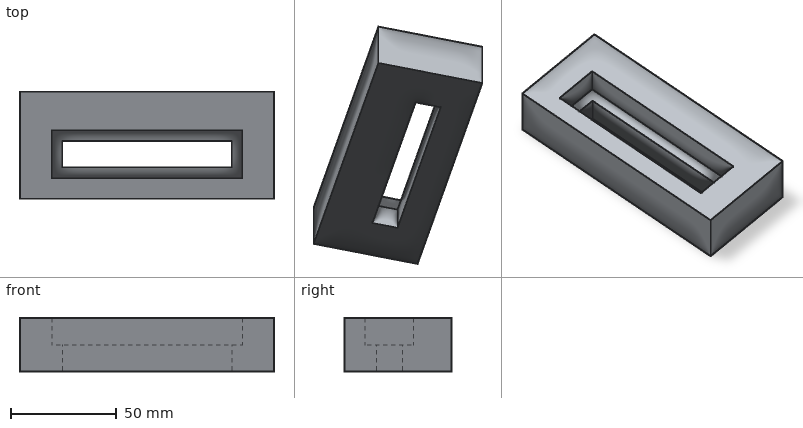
import cadquery as cq

length = 120.0
width = 50.8
height = 25.5

opening_offset_y = -4.2
pocket_length = 90.0
pocket_width = 22.8
pocket_depth = 12.7
ledge_end = 5.0
ledge_side = 5.3
slot_length = pocket_length - 2 * ledge_end
slot_width = pocket_width - 2 * ledge_side


def opening_cutter(size_x, size_y, depth):
    """Rectangular cutter reaching down from the top face."""
    return (
        cq.Workplane("XY")
        .workplane(offset=height - depth)
        .center(0, opening_offset_y)
        .rect(size_x, size_y)
        .extrude(depth)
    )


block = cq.Workplane("XY").box(length, width, height, centered=(True, True, False))
pocket = opening_cutter(pocket_length, pocket_width, pocket_depth)
through_slot = opening_cutter(slot_length, slot_width, height)

result = block.cut(pocket).cut(through_slot)